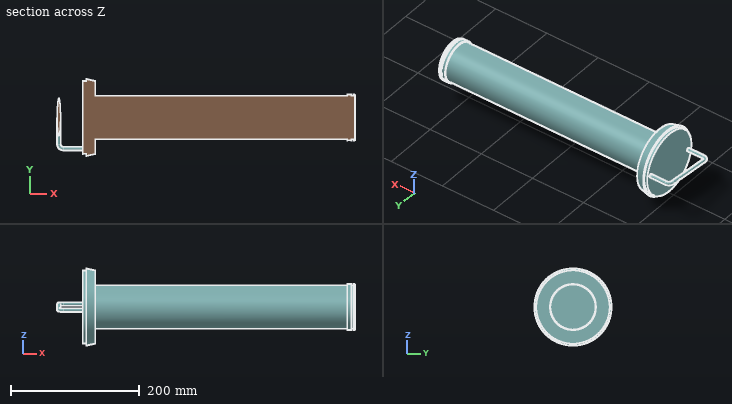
import cadquery as cq

total_length = 464.0

rod_diameter = 6.0
rod_radius = rod_diameter / 2
leg_spacing = 97.0
bend_radius = 7.0
handle_tilt = 5.7

flange_start = 40.0
flange_thickness = 20.0
flange_end = flange_start + flange_thickness
face_thickness = 5.5
face_diameter = 114.0
rim_diameter = 120.5

tube_diameter = 68.0
ring_diameter = 72.0
ring_start = 451.5
ring_width = 7.0
end_chamfer = 1.0
groove_width = 3.0
end_ring_start = ring_start + ring_width + groove_width


def disc(start, end, diameter):
    """Cylinder on the X axis between two stations."""
    return cq.Workplane("YZ", origin=(start, 0, 0)).circle(diameter / 2).extrude(end - start)


def make_flange():
    face_radius = face_diameter / 2
    rim_radius = rim_diameter / 2
    rim_start = flange_start + face_thickness
    profile = (
        cq.Workplane("XY")
        .moveTo(flange_start, 0)
        .lineTo(flange_start, face_radius)
        .lineTo(rim_start, face_radius)
        .lineTo(rim_start, rim_radius)
        .lineTo(flange_end, face_radius)
        .lineTo(flange_end, 0)
        .close()
    )
    return profile.revolve(360, (0, 0, 0), (1, 0, 0))


def make_handle():
    half_spacing = leg_spacing / 2
    grip_x = rod_radius
    bend_end_x = grip_x + bend_radius
    grip_end_y = half_spacing - bend_radius
    leg_end_x = flange_start + face_thickness / 2
    path = (
        cq.Workplane("XY")
        .moveTo(leg_end_x, -half_spacing)
        .lineTo(bend_end_x, -half_spacing)
        .tangentArcPoint((grip_x, -grip_end_y), relative=False)
        .lineTo(grip_x, grip_end_y)
        .tangentArcPoint((bend_end_x, half_spacing), relative=False)
        .lineTo(leg_end_x, half_spacing)
    )
    section = cq.Workplane("YZ", origin=(leg_end_x, -half_spacing, 0)).circle(rod_radius)
    return section.sweep(path).rotate((0, 0, 0), (1, 0, 0), handle_tilt)


def make_tube():
    tube = disc(flange_end, ring_start, tube_diameter)
    ring = disc(ring_start, ring_start + ring_width, ring_diameter)
    groove = disc(ring_start + ring_width, end_ring_start, tube_diameter)
    end_ring = disc(end_ring_start, total_length, ring_diameter).faces(">X").chamfer(end_chamfer)
    return tube.union(ring).union(groove).union(end_ring)


result = make_flange().union(make_tube()).union(make_handle())